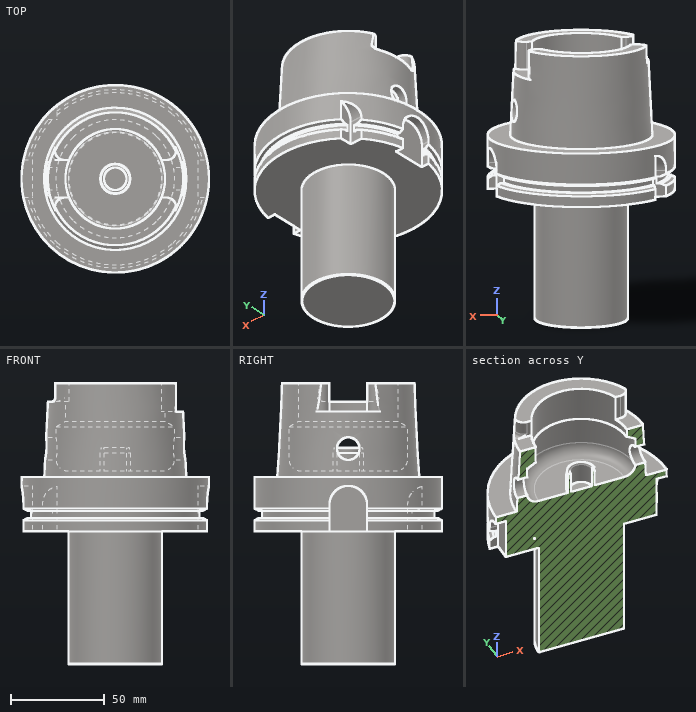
import cadquery as cq
import math

TOTAL_HEIGHT = 149.9
FLANGE_BOTTOM = 70.9
FLANGE_TOP = 100.0

SHANK_DIAMETER = 50.0
SHANK_CHAMFER = 0.5

FLANGE_RADIUS = 100.0 / 2
GROOVE_RADIUS = 46.0
GROOVE_BOTTOM = 78.1
GROOVE_TOP = 81.8
GROOVE_LIP_WIDTH = 2.4
GROOVE_LIP_HEIGHT = 1.3

TAPER_BASE_RADIUS = 37.9
TAPER_SLOPE = 0.05
BORE_DIAMETER = 53.0
UNDERCUT_DIAMETER = 63.1
UNDERCUT_TOP = 129.5
SHOULDER_ANGLE = 30
CAVITY_FLOOR = 103.0
CAVITY_FLOOR_DIAMETER = 50.0

TUBE_DIAMETER = 16.0
TUBE_HEAD_DIAMETER = 15.5
TUBE_BORE_DIAMETER = 12.0
TUBE_SHOULDER = 112.5
TUBE_TOP = 115.5

CROSS_HOLE_DIAMETER = 12.0
CROSS_HOLE_HEIGHT = 115.0

SLOT_HALF_WIDTH = 10.0
SLOT_CORNER_RADIUS = 5.0
SLOT_FLOOR_FILLET = 2.0
SLOT_CORNER_CLEARANCE = 0.03
SHALLOW_SLOT_DEPTH = 9.9
DEEP_SLOT_DEPTH = 15.1

KEYWAY_RADIUS = 10.0
KEYWAY_ARC_CENTER = 85.1
KEYWAY_FLOOR = 44.0
SIDE_NOTCH_FLOOR = 31.0
SIDE_NOTCH_Y = 41.7


def taper_radius(height):
    return TAPER_BASE_RADIUS - TAPER_SLOPE * (height - FLANGE_TOP)


def make_body():
    """Revolve the shank, the grooved flange and the solid taper."""
    shank_radius = SHANK_DIAMETER / 2
    lip_radius = FLANGE_RADIUS - GROOVE_LIP_WIDTH
    outline = [
        (0, 0),
        (shank_radius - SHANK_CHAMFER, 0),
        (shank_radius, SHANK_CHAMFER),
        (shank_radius, FLANGE_BOTTOM),
        (FLANGE_RADIUS, FLANGE_BOTTOM),
        (FLANGE_RADIUS, GROOVE_BOTTOM - GROOVE_LIP_HEIGHT),
        (lip_radius, GROOVE_BOTTOM),
        (GROOVE_RADIUS, GROOVE_BOTTOM),
        (GROOVE_RADIUS, GROOVE_TOP),
        (lip_radius, GROOVE_TOP),
        (FLANGE_RADIUS, GROOVE_TOP + GROOVE_LIP_HEIGHT),
        (FLANGE_RADIUS, FLANGE_TOP),
        (TAPER_BASE_RADIUS, FLANGE_TOP),
        (taper_radius(TOTAL_HEIGHT), TOTAL_HEIGHT),
        (0, TOTAL_HEIGHT),
    ]
    return cq.Workplane("XZ").polyline(outline).close().revolve(360, (0, 0, 0), (0, 1, 0))


def make_cavity():
    """Revolve the bore, its wider undercut and the rounded rim of the floor."""
    bore_radius = BORE_DIAMETER / 2
    undercut_radius = UNDERCUT_DIAMETER / 2
    floor_radius = CAVITY_FLOOR_DIAMETER / 2
    shoulder_drop = (undercut_radius - bore_radius) * math.tan(math.radians(SHOULDER_ANGLE))
    rim_radius = undercut_radius - floor_radius
    rim_offset = rim_radius * math.sqrt(0.5)
    rim_center_z = CAVITY_FLOOR + rim_radius
    return (
        cq.Workplane("XZ")
        .moveTo(0, CAVITY_FLOOR)
        .lineTo(floor_radius, CAVITY_FLOOR)
        .threePointArc(
            (floor_radius + rim_offset, rim_center_z - rim_offset),
            (undercut_radius, rim_center_z),
        )
        .lineTo(undercut_radius, UNDERCUT_TOP - shoulder_drop)
        .lineTo(bore_radius, UNDERCUT_TOP)
        .lineTo(bore_radius, TOTAL_HEIGHT)
        .lineTo(0, TOTAL_HEIGHT)
        .close()
        .revolve(360, (0, 0, 0), (0, 1, 0))
    )


def make_coolant_tube():
    """Revolve the tube, whose narrower head ends in a fully rounded rim."""
    tube_radius = TUBE_DIAMETER / 2
    head_radius = TUBE_HEAD_DIAMETER / 2
    bore_radius = TUBE_BORE_DIAMETER / 2
    rim_radius = (head_radius - bore_radius) / 2
    rim_base = TUBE_TOP - rim_radius
    return (
        cq.Workplane("XZ")
        .moveTo(bore_radius, CAVITY_FLOOR)
        .lineTo(tube_radius, CAVITY_FLOOR)
        .lineTo(tube_radius, TUBE_SHOULDER)
        .lineTo(head_radius, TUBE_SHOULDER)
        .lineTo(head_radius, rim_base)
        .threePointArc((bore_radius + rim_radius, TUBE_TOP), (bore_radius, rim_base))
        .close()
        .revolve(360, (0, 0, 0), (0, 1, 0))
    )


def make_cross_hole(side):
    """Hole through one taper wall; side is -1 or 1 along X."""
    return (
        cq.Workplane("YZ", origin=(side * BORE_DIAMETER / 2, 0, CROSS_HOLE_HEIGHT))
        .circle(CROSS_HOLE_DIAMETER / 2)
        .extrude(side * TAPER_BASE_RADIUS)
    )


def make_drive_slot(side, depth, floor_fillet=0):
    """Slot open to one side in X; its mouth flares round arcs tangent just outside the taper."""
    floor = TOTAL_HEIGHT - depth
    tangent_radius = taper_radius(floor) + SLOT_CORNER_CLEARANCE
    center_y = SLOT_HALF_WIDTH + SLOT_CORNER_RADIUS
    center_x = math.sqrt((tangent_radius - SLOT_CORNER_RADIUS) ** 2 - center_y**2)
    end_angle = math.atan2(center_y, center_x)
    mid_angle = (end_angle - math.pi / 2) / 2
    mid_x = center_x + SLOT_CORNER_RADIUS * math.cos(mid_angle)
    mid_y = center_y + SLOT_CORNER_RADIUS * math.sin(mid_angle)
    end_x = tangent_radius * math.cos(end_angle)
    end_y = tangent_radius * math.sin(end_angle)
    outer_x = FLANGE_RADIUS * math.cos(end_angle)
    outer_y = FLANGE_RADIUS * math.sin(end_angle)
    slot = (
        cq.Workplane("XY", origin=(0, 0, floor))
        .moveTo(0, -SLOT_HALF_WIDTH)
        .lineTo(side * center_x, -SLOT_HALF_WIDTH)
        .threePointArc((side * mid_x, -mid_y), (side * end_x, -end_y))
        .lineTo(side * outer_x, -outer_y)
        .lineTo(side * outer_x, outer_y)
        .lineTo(side * end_x, end_y)
        .threePointArc((side * mid_x, mid_y), (side * center_x, SLOT_HALF_WIDTH))
        .lineTo(0, SLOT_HALF_WIDTH)
        .close()
        .extrude(depth)
    )
    if floor_fillet:
        channel = (
            cq.Workplane("XY")
            .box(FLANGE_RADIUS, 2 * SLOT_HALF_WIDTH, depth, centered=(False, True, False))
            .translate((min(side, 0) * FLANGE_RADIUS, 0, floor))
        )
        slot = slot.faces("<Z").edges("%CIRCLE").fillet(floor_fillet).union(channel)
    return slot


def make_keyway(side, floor_distance, center_y=0):
    """Flat-floored keyway cut in along X, open below and rounded at the top."""
    left = center_y - KEYWAY_RADIUS
    right = center_y + KEYWAY_RADIUS
    return (
        cq.Workplane("YZ", origin=(side * floor_distance, 0, 0))
        .moveTo(left, FLANGE_BOTTOM)
        .lineTo(right, FLANGE_BOTTOM)
        .lineTo(right, KEYWAY_ARC_CENTER)
        .threePointArc((center_y, KEYWAY_ARC_CENTER + KEYWAY_RADIUS), (left, KEYWAY_ARC_CENTER))
        .close()
        .extrude(side * FLANGE_RADIUS)
    )


result = make_body().cut(make_cavity()).union(make_coolant_tube())
result = result.cut(make_drive_slot(-1, SHALLOW_SLOT_DEPTH, SLOT_FLOOR_FILLET))
result = result.cut(make_drive_slot(1, DEEP_SLOT_DEPTH))
for direction in (-1, 1):
    result = result.cut(make_cross_hole(direction))
    result = result.cut(make_keyway(direction, KEYWAY_FLOOR))
result = result.cut(make_keyway(-1, SIDE_NOTCH_FLOOR, SIDE_NOTCH_Y))